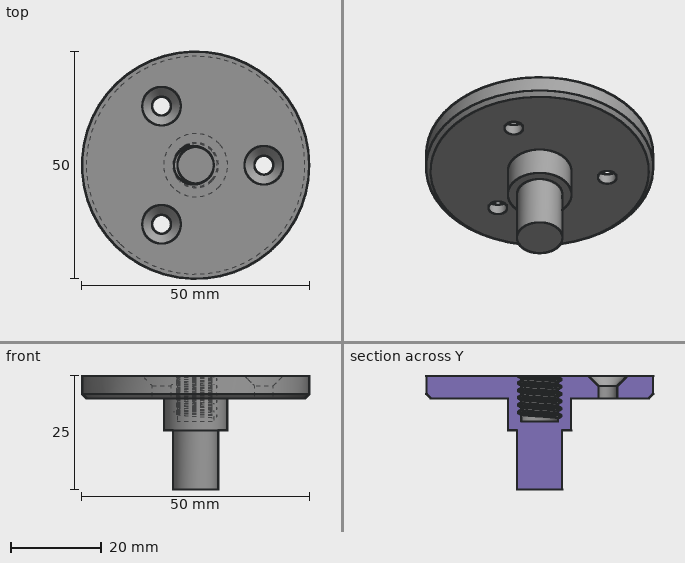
import cadquery as cq
import math

flange_diameter = 50.0
flange_thickness = 5.0
flange_chamfer = 1.0

boss_diameter = 14.0
boss_length = 7.0
pin_diameter = 10.0
total_height = 25.0
boss_bottom = -flange_thickness - boss_length

screw_count = 3
screw_circle_radius = 15.0
screw_hole_diameter = 4.1
countersink_diameter = 8.5
countersink_angle = 90.0

bore_diameter = 8.0
bore_depth = 10.0
thread_pitch = 1.6
thread_depth = 0.75
thread_flank_angle = 30.0
groove_root_width = thread_pitch / 8
groove_overlap = 0.25
turns_in_bore = 5.5
turns_above_flange = 1
bore_cutter_overshoot = 0.5


def make_body():
    """Chamfered flange with the boss and the pin below it."""
    flange = (
        cq.Workplane("XY")
        .circle(flange_diameter / 2)
        .extrude(-flange_thickness)
        .faces("<Z")
        .chamfer(flange_chamfer)
    )
    boss = cq.Workplane("XY").circle(boss_diameter / 2).extrude(boss_bottom)
    pin = cq.Workplane("XY").circle(pin_diameter / 2).extrude(-total_height)
    return flange.union(boss).union(pin)


def cut_screw_holes(body):
    """Countersunk through holes, the first one on the +X axis."""
    return (
        body.faces(">Z")
        .workplane(origin=(0, 0, 0))
        .polarArray(screw_circle_radius, 0, 360, screw_count)
        .cskHole(screw_hole_diameter, countersink_diameter, countersink_angle, depth=flange_thickness)
    )


def make_thread_groove():
    """Right-handed helical groove with a trapezoid section, running out past the top face."""
    start_z = -turns_in_bore * thread_pitch
    helix_height = (turns_in_bore + turns_above_flange) * thread_pitch
    bore_radius = bore_diameter / 2
    root_radius = bore_radius + thread_depth
    inner_radius = bore_radius - groove_overlap
    half_root = groove_root_width / 2
    half_inner = half_root + (root_radius - inner_radius) * math.tan(math.radians(thread_flank_angle))

    helix = cq.Wire.makeHelix(thread_pitch, helix_height, bore_radius, center=cq.Vector(0, 0, start_z))
    section = cq.Workplane("XZ").polyline(
        [
            (inner_radius, start_z - half_inner),
            (root_radius, start_z - half_root),
            (root_radius, start_z + half_root),
            (inner_radius, start_z + half_inner),
        ]
    ).close()
    return section.sweep(cq.Workplane(helix), isFrenet=True)


def cut_threaded_bore(body):
    """Thread groove first, then the plain blind bore that opens it up."""
    bore = (
        cq.Workplane("XY", origin=(0, 0, -bore_depth))
        .circle(bore_diameter / 2)
        .extrude(bore_depth + bore_cutter_overshoot)
    )
    return body.cut(make_thread_groove()).cut(bore)


result = cut_threaded_bore(cut_screw_holes(make_body()))